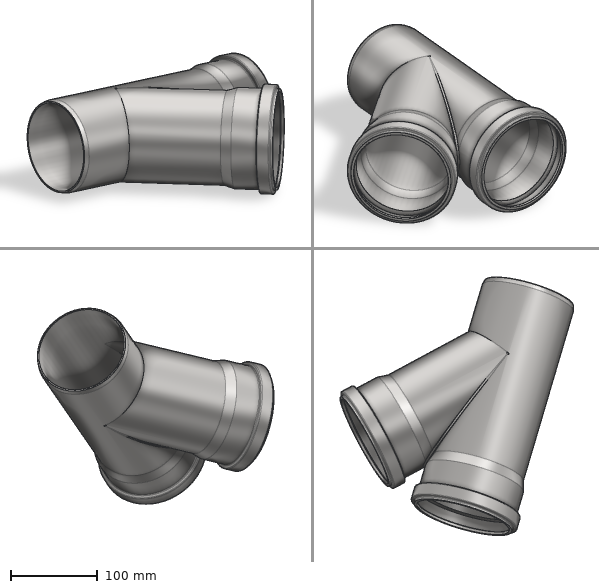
import cadquery as cq


run_length = 277.0
pipe_outer_r = 110.0 / 2
bore_r = 103.5 / 2
spigot_chamfer_length = 5.8
spigot_chamfer_depth = 1.5

branch_angle = 45.0
junction_y = 87.5
branch_length = 189.7

socket_outer_r = 117.5 / 2
socket_inner_r = 111.0 / 2
collar_outer_r = 127.1 / 2
groove_r = 120.8 / 2
groove_slope = 1.7
collar_top = 3.3
collar_bottom = 18.5
collar_fillet = 1.0
taper_start = 48.5
taper_end = 61.0

web_thickness = 2.8
web_reach = 156.8


def outer_leg(start, mouth, chamfered):
    """Solid outside of a leg running along Y, with its collared socket at the mouth."""
    profile = cq.Workplane("XY").moveTo(0, start)
    if chamfered:
        profile = (
            profile
            .lineTo(pipe_outer_r - spigot_chamfer_depth, start)
            .lineTo(pipe_outer_r, start + spigot_chamfer_length)
        )
    else:
        profile = profile.lineTo(pipe_outer_r, start)
    lower_face = mouth - collar_bottom
    upper_face = mouth - collar_top
    return (
        profile
        .lineTo(pipe_outer_r, mouth - taper_end)
        .lineTo(socket_outer_r, mouth - taper_start)
        .lineTo(socket_outer_r, lower_face - collar_fillet)
        .radiusArc((socket_outer_r + collar_fillet, lower_face), collar_fillet)
        .lineTo(collar_outer_r - collar_fillet, lower_face)
        .radiusArc((collar_outer_r, lower_face + collar_fillet), -collar_fillet)
        .lineTo(collar_outer_r, upper_face - collar_fillet)
        .radiusArc((collar_outer_r - collar_fillet, upper_face), -collar_fillet)
        .lineTo(socket_outer_r + collar_fillet, upper_face)
        .radiusArc((socket_outer_r, upper_face + collar_fillet), collar_fillet)
        .lineTo(socket_outer_r, mouth)
        .lineTo(0, mouth)
        .close()
        .revolve(360, (0, 0, 0), (0, 1, 0))
    )


def inner_leg(start, mouth):
    """Bore of a leg, with the socket and its seal groove."""
    outline = [
        (0, start),
        (bore_r, start),
        (bore_r, mouth - taper_end),
        (socket_inner_r, mouth - taper_start),
        (socket_inner_r, mouth - collar_bottom),
        (groove_r, mouth - collar_bottom + groove_slope),
        (groove_r, mouth - collar_top - groove_slope),
        (socket_inner_r, mouth - collar_top),
        (socket_inner_r, mouth),
        (0, mouth),
    ]
    return cq.Workplane("XY").polyline(outline).close().revolve(360, (0, 0, 0), (0, 1, 0))


def turn_about_junction(leg, angle):
    """Turn a leg clockwise from +Y and move its foot to the junction."""
    return leg.rotate((0, 0, 0), (0, 0, 1), -angle).translate((0, junction_y, 0))


def corner_web():
    """Half-elliptical plate on the plane that bisects the run and the branch."""
    half_angle = branch_angle / 2
    plate = (
        cq.Workplane("YZ", origin=(-web_thickness / 2, 0, 0))
        .moveTo(0, -pipe_outer_r)
        .ellipseArc(web_reach, pipe_outer_r, -90, 90, startAtCurrent=True)
        .close()
        .extrude(web_thickness)
    )
    return turn_about_junction(plate, half_angle)


outside = (
    outer_leg(0, run_length, True)
    .union(turn_about_junction(outer_leg(0, branch_length, False), branch_angle))
    .union(corner_web())
)
result = (
    outside
    .cut(inner_leg(0, run_length))
    .cut(turn_about_junction(inner_leg(0, branch_length), branch_angle))
)